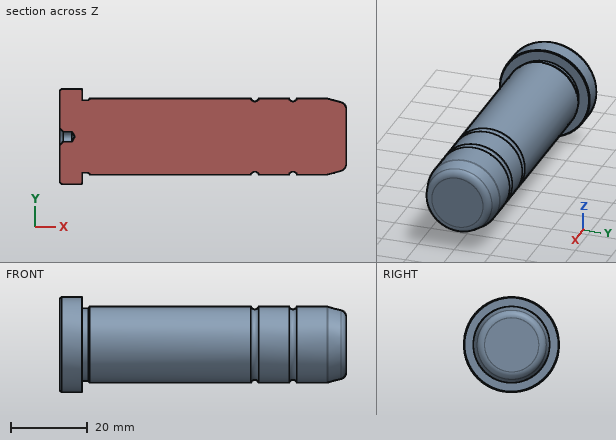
import cadquery as cq
import math

length = 75.0

head_radius = 25.0 / 2
head_length = 6.0
head_front_chamfer = 0.5
head_back_chamfer = 0.2

shaft_radius = head_radius * 0.8
neck_depth = 0.45
neck_radius = shaft_radius - neck_depth
neck_end = 7.5

groove_starts = (50.0, 60.0)
groove_width = 2.0
groove_depth = 0.75

taper_start = 70.0
taper_angle = 15.0
shoulder_blend_radius = 1.0
tip_round_radius = 2.0

centre_mouth_radius = 2.25
centre_drill_radius = 1.3
centre_cone_half_angle = 45.0
centre_drill_length = 2.25
drill_point_half_angle = 60.0


def revolve_about_x(profile):
    return profile.close().revolve(360, (0, 0, 0), (1, 0, 0))


def make_body():
    taper_drop = (length - taper_start) * math.tan(math.radians(taper_angle))
    body = revolve_about_x(
        cq.Workplane("XY")
        .lineTo(0, head_radius - head_front_chamfer)
        .lineTo(head_front_chamfer, head_radius)
        .lineTo(head_length - head_back_chamfer, head_radius)
        .lineTo(head_length, head_radius - head_back_chamfer)
        .lineTo(head_length, neck_radius)
        .lineTo(neck_end, neck_radius)
        .lineTo(neck_end + neck_depth, shaft_radius)
        .lineTo(taper_start, shaft_radius)
        .lineTo(length, shaft_radius - taper_drop)
        .lineTo(length, 0)
    )
    body = body.faces(">X").edges().fillet(tip_round_radius)
    shoulder_point = (taper_start, 0, 0)
    shoulder = cq.selectors.NearestToPointSelector(shoulder_point)
    return body.edges(shoulder).fillet(shoulder_blend_radius)


def make_groove(start):
    end = start + groove_width
    outside = shaft_radius + groove_depth
    return revolve_about_x(
        cq.Workplane("XY")
        .moveTo(start, outside)
        .lineTo(start, shaft_radius)
        .threePointArc((start + groove_width / 2, shaft_radius - groove_depth), (end, shaft_radius))
        .lineTo(end, outside)
    )


def make_centre_hole():
    cone_depth = (centre_mouth_radius - centre_drill_radius) / math.tan(math.radians(centre_cone_half_angle))
    drill_end = cone_depth + centre_drill_length
    point_depth = centre_drill_radius / math.tan(math.radians(drill_point_half_angle))
    return revolve_about_x(
        cq.Workplane("XY")
        .lineTo(0, centre_mouth_radius)
        .lineTo(cone_depth, centre_drill_radius)
        .lineTo(drill_end, centre_drill_radius)
        .lineTo(drill_end + point_depth, 0)
    )


result = make_body().cut(make_centre_hole())
for groove_start in groove_starts:
    result = result.cut(make_groove(groove_start))